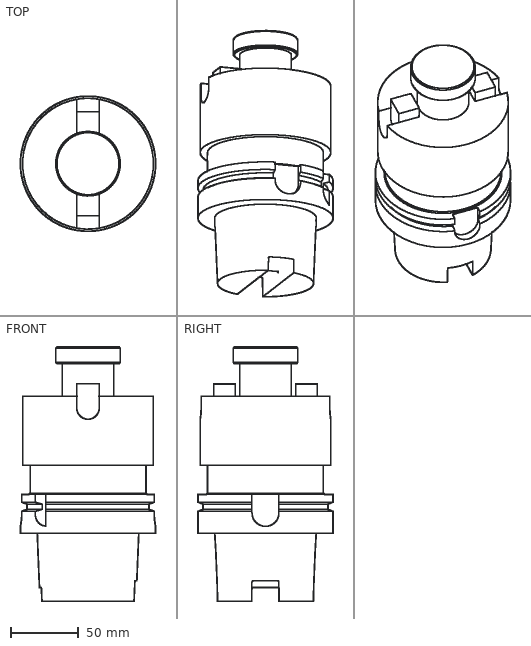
import cadquery as cq

total_height = 188.1
flange_bottom = 50.2
flange_top = 79.2
body_bottom = 100.6
body_top = 151.8
head_bottom = 175.7

shank_tip_radius = 35.5
shank_top_radius = 37.6
flange_radius = 50.0
neck_radius = 42.9
body_radius = 48.3
stud_radius = 19.2
head_radius = 23.9
head_chamfer = 1.0
neck_root_radius = 43.6
neck_root_height = 1.0

groove_center = 70.0
groove_floor_width = 3.8
groove_mouth_width = 6.8
groove_radius = 46.3

key_width = 16.5
key_inner_end = 22.2
key_outer_end = 38.4
key_top = 160.8
key_slot_bottom = 134.7

drive_slot_width = 20.0
drive_slot_floor = 44.4
flange_cut_bottom = 55.5

notch_corner = 31.5
notch_radius = 9.2

keyway_width = drive_slot_width
keyway_depth = 10.2
deep_keyway_depth = 15.2
keyway_corner_radius = 1.0


def turned_blank():
    """Revolve the whole stepped profile about the Z axis."""
    groove_floor_low = groove_center - groove_floor_width / 2
    groove_floor_high = groove_center + groove_floor_width / 2
    groove_mouth_low = groove_center - groove_mouth_width / 2
    groove_mouth_high = groove_center + groove_mouth_width / 2
    profile = [
        (0, 0),
        (shank_tip_radius, 0),
        (shank_top_radius, flange_bottom),
        (flange_radius, flange_bottom),
        (flange_radius, groove_mouth_low),
        (groove_radius, groove_floor_low),
        (groove_radius, groove_floor_high),
        (flange_radius, groove_mouth_high),
        (flange_radius, flange_top),
        (neck_root_radius, flange_top),
        (neck_radius, flange_top + neck_root_height),
        (neck_radius, body_bottom),
        (body_radius, body_bottom),
        (body_radius, body_top),
        (stud_radius, body_top),
        (stud_radius, head_bottom),
        (head_radius - head_chamfer, head_bottom),
        (head_radius, head_bottom + head_chamfer),
        (head_radius, total_height - head_chamfer),
        (head_radius - head_chamfer, total_height),
        (0, total_height),
    ]
    return cq.Workplane("XZ").polyline(profile).close().revolve(360, (0, 0), (0, 1))


def round_bottom_prism(plane, center, width, bottom, top, start, length):
    """Upright prism with a half-round underside, running along the plane normal from start."""
    radius = width / 2
    return (
        cq.Workplane(plane)
        .workplane(offset=start)
        .moveTo(center - radius, top)
        .lineTo(center - radius, bottom + radius)
        .threePointArc((center, bottom), (center + radius, bottom + radius))
        .lineTo(center + radius, top)
        .close()
        .extrude(length)
    )


def key_slot(side_angle):
    """Open slot in the body, from the outer face of a key to the rim."""
    slot = round_bottom_prism(
        "XZ", 0, key_width, key_slot_bottom, body_top, key_outer_end, body_radius - key_outer_end
    )
    return slot.rotate((0, 0, 0), (0, 0, 1), side_angle)


def drive_key(side_angle):
    """Key standing on the body, on the -Y side before it is turned."""
    key = round_bottom_prism(
        "XZ", 0, key_width, key_slot_bottom, key_top, key_inner_end, key_outer_end - key_inner_end
    )
    return key.rotate((0, 0, 0), (0, 0, 1), side_angle)


def drive_slot(side_angle):
    """Round-bottomed slot in the flange, on the +X side before it is turned."""
    slot = round_bottom_prism(
        "YZ", 0, drive_slot_width, flange_cut_bottom, flange_top,
        drive_slot_floor, flange_radius - drive_slot_floor
    )
    return slot.rotate((0, 0, 0), (0, 0, 1), side_angle)


def orientation_notch():
    """Notch with walls at x = y = -notch_corner and a rounded underside."""
    return round_bottom_prism(
        "YZ", -notch_corner - notch_radius, 2 * notch_radius, flange_cut_bottom, flange_top,
        -flange_radius, flange_radius - notch_corner
    )


def keyway(depth, start, length):
    """Slot along X in the tip of the shank, with rounded upper corners."""
    return (
        cq.Workplane("XY")
        .box(length, keyway_width, depth, centered=(False, True, False))
        .edges("|X and >Z")
        .fillet(keyway_corner_radius)
        .translate((start, 0, 0))
    )


result = turned_blank()
for angle in (0, 180):
    result = result.cut(key_slot(angle)).union(drive_key(angle)).cut(drive_slot(angle))
result = result.cut(orientation_notch())

result = result.cut(keyway(keyway_depth, -shank_top_radius, 2 * shank_top_radius))
result = result.cut(keyway(deep_keyway_depth, 0, shank_top_radius))